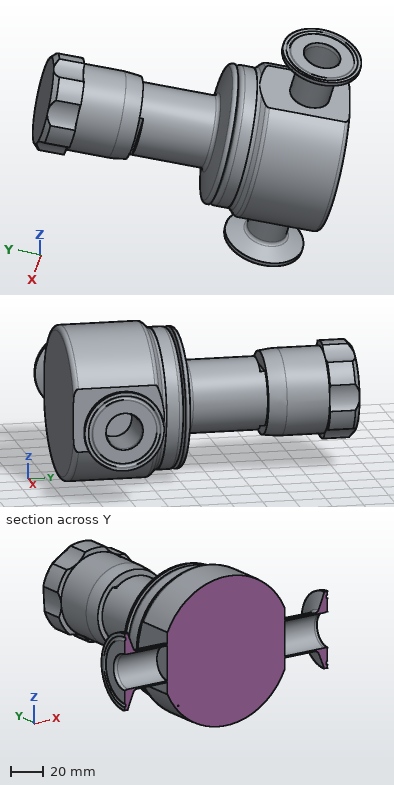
import cadquery as cq
import math

OVERALL_X = 153.92
OVERALL_Y = 185.57

BODY_R = 97.79 / 2
FRONT_Y = -25.7
BODY_LENGTH = 53.1
BODY_FILLET = 3.1
SHOULDER_Y = FRONT_Y + BODY_LENGTH
SHOULDER_BLEND_R = 3.5
FLAT_X = 44.5

SEAT_R = 44.2
SEAT_WIDTH = 1.5
SEAT_BLEND_R = 3.4
SEAT_Y = SHOULDER_Y + BODY_R - SEAT_R

BONNET_R = 44.6
BONNET_Y = SEAT_Y + SEAT_WIDTH
HOUSING_LENGTH = 70.3
BONNET_TOP_Y = FRONT_Y + HOUSING_LENGTH
BONNET_FILLET = 3.0
GAP_R = 37.0
GAP_WIDTH = 1.2
CLAMP_Y = BONNET_TOP_Y + GAP_WIDTH
CLAMP_RIM_HEIGHT = 2.9
CLAMP_RIM_Y = CLAMP_Y + CLAMP_RIM_HEIGHT
CLAMP_RIM_FILLET = 2.8
CLAMP_CONE_HEIGHT = 4.1

STEM_R = 23.0
STEM_ROOT_Y = CLAMP_RIM_Y + CLAMP_CONE_HEIGHT
STEM_ROOT_FILLET = 2.5
STEM_FLAT_Z = 17.5
STEM_FLAT_LENGTH = 3.0

TOP_Y = FRONT_Y + OVERALL_Y
SLEEVE_R = 27.45
SLEEVE_END_R = 26.3
HANDLE_LENGTH = 57.6
SLEEVE_Y = TOP_Y - HANDLE_LENGTH
SLEEVE_TAPER_LENGTH = 11.4
KNOB_R = 30.75
KNOB_HEIGHT = 19.1
KNOB_Y = TOP_Y - KNOB_HEIGHT
KNOB_CHAMFER = 3.2
FLUTE_COUNT = 6
FLUTE_HALF_ANGLE = math.radians(15.6)
FIRST_FLUTE_ANGLE = math.radians(3.2)

PORT_END_X = OVERALL_X / 2
PORT_TUBE_R = 12.7
PORT_BORE_R = 11.35
PORT_MOUTH_R = 11.8
PORT_MOUTH_DEPTH = 2.5
FERRULE_R = 25.2
FERRULE_RIM = 2.7
FERRULE_CONE_LENGTH = 5.0
FERRULE_FILLET = 2.5
GASKET_GROOVE_R = 21.7
GASKET_HALF_WIDTH = 1.2
GASKET_DEPTH = 1.0
GASKET_EDGE_FILLET = 0.3

PICK_MARGIN = 0.1


def cylinder_y(radius, start, end):
    """Cylinder on the Y axis between two Y positions."""
    return cq.Workplane("XZ", origin=(0, start, 0)).circle(radius).extrude(start - end)


def centred_at(x, y):
    """Selector for the full circles whose centre lies at (x, y, 0)."""
    low = (x - PICK_MARGIN, y - PICK_MARGIN, -PICK_MARGIN)
    high = (x + PICK_MARGIN, y + PICK_MARGIN, PICK_MARGIN)
    return cq.selectors.BoxSelector(low, high)


def circles_at(y):
    """Selector for the full circles around the Y axis at one Y position."""
    return centred_at(0, y)


def make_housing():
    """Body, seat, bonnet, clamp flange and stem as one turned solid."""
    outline = [
        (0, FRONT_Y),
        (BODY_R, FRONT_Y),
        (BODY_R, SHOULDER_Y),
        (SEAT_R, SEAT_Y),
        (SEAT_R, BONNET_Y),
        (BONNET_R, BONNET_Y),
        (BONNET_R, BONNET_TOP_Y),
        (GAP_R, BONNET_TOP_Y),
        (GAP_R, CLAMP_Y),
        (BONNET_R, CLAMP_Y),
        (BONNET_R, CLAMP_RIM_Y),
        (STEM_R, STEM_ROOT_Y),
        (STEM_R, SLEEVE_Y),
        (0, SLEEVE_Y),
    ]
    housing = cq.Workplane("XY").polyline(outline).close().revolve(360, (0, 0, 0), (0, 1, 0))
    housing = housing.edges(circles_at(FRONT_Y)).fillet(BODY_FILLET)
    housing = housing.edges(circles_at(SHOULDER_Y)).fillet(SHOULDER_BLEND_R)
    housing = housing.edges(circles_at(SEAT_Y)).fillet(SEAT_BLEND_R)
    bonnet_rim = housing.edges(circles_at(BONNET_TOP_Y)).edges(cq.selectors.RadiusNthSelector(-1))
    housing = bonnet_rim.fillet(BONNET_FILLET)
    housing = housing.edges(circles_at(CLAMP_RIM_Y)).fillet(CLAMP_RIM_FILLET)
    return housing.edges(circles_at(STEM_ROOT_Y)).fillet(STEM_ROOT_FILLET)


def cut_body_flats(housing):
    """Flatten both sides of the body, where the ports leave it."""
    length = BONNET_Y - FRONT_Y
    size = 2 * BODY_R
    for side in (-1, 1):
        cutter = cq.Workplane("XY").box(size, length, size)
        x = side * (FLAT_X + size / 2)
        housing = housing.cut(cutter.translate((x, FRONT_Y + length / 2, 0)))
    return housing


def cut_stem_flats(housing):
    """Flatten the stem above and below, just under the sleeve."""
    size = 2 * STEM_R
    for side in (-1, 1):
        cutter = cq.Workplane("XY").box(size, STEM_FLAT_LENGTH, size)
        z = side * (STEM_FLAT_Z + size / 2)
        housing = housing.cut(cutter.translate((0, SLEEVE_Y - STEM_FLAT_LENGTH / 2, z)))
    return housing


def make_sleeve():
    """Round sleeve that curves inward over its lower end."""
    taper_y = SLEEVE_Y + SLEEVE_TAPER_LENGTH
    curve_mid = (SLEEVE_R - (SLEEVE_R - SLEEVE_END_R) / 4, taper_y - SLEEVE_TAPER_LENGTH / 2)
    outline = (
        cq.Workplane("XY")
        .moveTo(0, SLEEVE_Y)
        .lineTo(SLEEVE_END_R, SLEEVE_Y)
        .threePointArc(curve_mid, (SLEEVE_R, taper_y))
        .lineTo(SLEEVE_R, KNOB_Y)
        .lineTo(0, KNOB_Y)
        .close()
    )
    return outline.revolve(360, (0, 0, 0), (0, 1, 0))


def make_knob():
    """Chamfered knob with concave flutes that reach down to the sleeve radius."""
    knob = cylinder_y(KNOB_R, KNOB_Y, TOP_Y).faces(">Y").edges().chamfer(KNOB_CHAMFER)
    half_chord = KNOB_R * math.sin(FLUTE_HALF_ANGLE)
    sagitta = KNOB_R * math.cos(FLUTE_HALF_ANGLE) - SLEEVE_R
    flute_r = (half_chord**2 + sagitta**2) / (2 * sagitta)
    flute_axis_r = SLEEVE_R + flute_r
    for index in range(FLUTE_COUNT):
        angle = FIRST_FLUTE_ANGLE + index * 2 * math.pi / FLUTE_COUNT
        x = flute_axis_r * math.cos(angle)
        z = flute_axis_r * math.sin(angle)
        knob = knob.cut(cylinder_y(flute_r, KNOB_Y, TOP_Y).translate((x, 0, z)))
    return knob


def make_port():
    """Blind-bored tube and ferrule on the +X side, with a gasket groove in its end face."""
    rim_x = PORT_END_X - FERRULE_RIM
    cone_x = rim_x - FERRULE_CONE_LENGTH
    outline = [
        (0, 0),
        (0, PORT_TUBE_R),
        (cone_x, PORT_TUBE_R),
        (rim_x, FERRULE_R),
        (PORT_END_X, FERRULE_R),
        (PORT_END_X, 0),
    ]
    port = cq.Workplane("XY").polyline(outline).close().revolve(360, (0, 0, 0), (1, 0, 0))
    port = port.edges(centred_at(cone_x, 0)).fillet(FERRULE_FILLET)
    groove = (
        cq.Workplane("XY")
        .moveTo(PORT_END_X, GASKET_GROOVE_R - GASKET_HALF_WIDTH)
        .threePointArc(
            (PORT_END_X - GASKET_DEPTH, GASKET_GROOVE_R),
            (PORT_END_X, GASKET_GROOVE_R + GASKET_HALF_WIDTH),
        )
        .close()
        .revolve(360, (0, 0, 0), (1, 0, 0))
    )
    port = port.cut(groove)
    groove_edges = centred_at(PORT_END_X, 0) - cq.selectors.RadiusNthSelector(-1)
    port = port.edges(groove_edges).fillet(GASKET_EDGE_FILLET)
    bore_outline = [
        (FLAT_X, 0),
        (FLAT_X, PORT_BORE_R),
        (PORT_END_X - PORT_MOUTH_DEPTH, PORT_BORE_R),
        (PORT_END_X, PORT_MOUTH_R),
        (PORT_END_X, 0),
    ]
    bore = cq.Workplane("XY").polyline(bore_outline).close().revolve(360, (0, 0, 0), (1, 0, 0))
    return port.cut(bore)


housing = cut_stem_flats(cut_body_flats(make_housing()))
handle = make_sleeve().union(make_knob())
port = make_port()
result = housing.union(handle).union(port).union(port.mirror("YZ"))